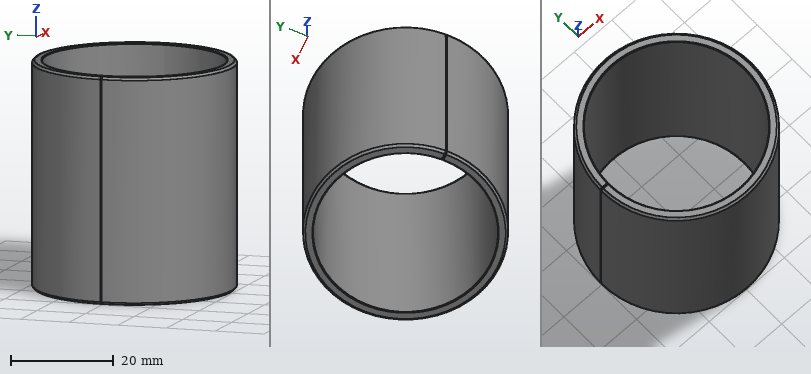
import cadquery as cq

length = 45.0
outer_diameter = 40.0
inner_diameter = 36.0
outer_chamfer = 0.5
inner_chamfer = 0.2
slit_width = 0.3
slit_center_y = slit_width / 2

outer_radius = outer_diameter / 2
inner_radius = inner_diameter / 2


def make_sleeve():
    """Revolve the wall section, with its four chamfered corners, about Z."""
    return (
        cq.Workplane("XZ")
        .moveTo(inner_radius + inner_chamfer, 0)
        .lineTo(outer_radius - outer_chamfer, 0)
        .lineTo(outer_radius, outer_chamfer)
        .lineTo(outer_radius, length - outer_chamfer)
        .lineTo(outer_radius - outer_chamfer, length)
        .lineTo(inner_radius + inner_chamfer, length)
        .lineTo(inner_radius, length - inner_chamfer)
        .lineTo(inner_radius, inner_chamfer)
        .close()
        .revolve(360, (0, 0, 0), (0, 1, 0))
    )


def make_slit():
    """Full-length cutter from the axis out past the -X side of the wall."""
    return (
        cq.Workplane("XY")
        .center(-outer_radius, slit_center_y)
        .rect(outer_diameter, slit_width)
        .extrude(length)
    )


result = make_sleeve().cut(make_slit())